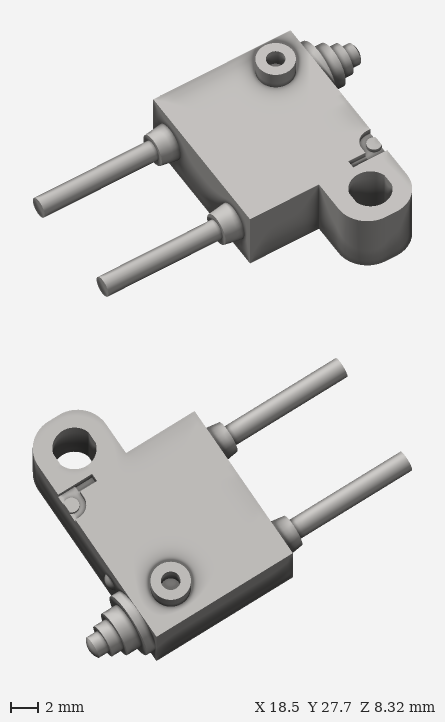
import cadquery as cq
import math


BLOCK_X = 13.3
BLOCK_Y = 12.02
BLOCK_Z = 5.32
TOP_Z = BLOCK_Z / 2

LUG_REACH = 5.2
LUG_Y = 5.98
LUG_CORNER_R = 2.52
LUG_MID_Y = BLOCK_Y - LUG_Y / 2
LUG_HOLE_X = 15.68
LUG_HOLE_D = 3.27
LUG_HOLE_ACROSS_FLATS = 3.1

BOSS_D = 3.0
BOSS_H = 1.5
TOP_BOSS_X = 2.65
BOTTOM_BOSS_X = 2.52
TOP_BOSS_HOLE_D = 1.45

LEAD_XS = (2.27, 11.02)
BOOT_BASE_D = 3.0
BOOT_TIP_D = 2.55
BOOT_LENGTH = 1.5
WIRE_D = 1.63
WIRE_LENGTH = 9.97

PLUNGER_X = 2.65
COLLAR_D = 5.1
COLLAR_LENGTH = 0.75
PLUNGER_STEPS = ((3.6, 1.25), (2.6, 1.0), (1.77, 0.91))
PLUNGER_TIP_RISE = 0.3

BUMP_X = 6.23
BUMP_BASE_R = 0.7
BUMP_RISE = 0.35

POCKET_DEPTH = 0.5
POCKET_LEFT_X = 10.97
POCKET_Y = 1.5
POCKET_CORNER_R = 1.15
POST_X = POCKET_LEFT_X + POCKET_CORNER_R
POST_D = 1.15
POST_SETBACK = 0.42
POST_HEIGHT = 0.33
SLOT_X = 0.66
SLOT_SHOULDER_R = 0.28
SLOT_DEPTH = POCKET_DEPTH + SLOT_SHOULDER_R


def rod_along_y(diameter, length, x, start_y):
    """Cylinder on the mid-height plane running in +Y from start_y."""
    return cq.Workplane(cq.Solid.makeCylinder(
        diameter / 2, length, cq.Vector(x, start_y, 0), cq.Vector(0, 1, 0)))


def spherical_cap(base_r, rise, x, base_y):
    """Dome facing +Y whose flat base lies at base_y."""
    sphere_r = (base_r**2 + rise**2) / (2 * rise)
    mid_r = math.sqrt(sphere_r**2 - (sphere_r - rise / 2) ** 2)
    return (
        cq.Workplane("XY")
        .moveTo(x, base_y)
        .lineTo(x + base_r, base_y)
        .threePointArc((x + mid_r, base_y + rise / 2), (x, base_y + rise))
        .close()
        .revolve(360, (x, base_y), (x, base_y + rise))
    )


def make_block():
    return cq.Workplane("XY").box(BLOCK_X, BLOCK_Y, BLOCK_Z, centered=(False, False, True))


def make_lug():
    lug = (
        cq.Workplane("XY")
        .box(LUG_REACH, LUG_Y, BLOCK_Z, centered=(False, True, True))
        .edges("|Z and >X")
        .fillet(LUG_CORNER_R)
        .translate((BLOCK_X, LUG_MID_Y, 0))
    )
    round_hole = cq.Workplane("XY").circle(LUG_HOLE_D / 2).extrude(TOP_Z, both=True)
    flats = cq.Workplane("XY").box(LUG_HOLE_D, LUG_HOLE_ACROSS_FLATS, BLOCK_Z)
    hole = round_hole.intersect(flats).translate((LUG_HOLE_X, LUG_MID_Y, 0))
    return lug.cut(hole)


def make_bosses():
    """Top boss with a hole reaching down to the block, and a plain bottom boss."""
    top = (
        cq.Workplane("XY", origin=(TOP_BOSS_X, LUG_MID_Y, TOP_Z))
        .circle(BOSS_D / 2)
        .circle(TOP_BOSS_HOLE_D / 2)
        .extrude(BOSS_H)
    )
    bottom = (
        cq.Workplane("XY", origin=(BOTTOM_BOSS_X, LUG_MID_Y, -TOP_Z))
        .circle(BOSS_D / 2)
        .extrude(-BOSS_H)
    )
    return top, bottom


def make_lead(x):
    boot = cq.Workplane(cq.Solid.makeCone(
        BOOT_BASE_D / 2, BOOT_TIP_D / 2, BOOT_LENGTH, cq.Vector(x, 0, 0), cq.Vector(0, -1, 0)))
    lead_length = BOOT_LENGTH + WIRE_LENGTH
    return boot.union(rod_along_y(WIRE_D, lead_length, x, -lead_length))


def make_pocket():
    """Material removed for the corner pocket and its side slot."""
    pocket_floor_z = TOP_Z - POCKET_DEPTH
    pocket = (
        cq.Workplane("XY", origin=(0, 0, pocket_floor_z))
        .moveTo(POCKET_LEFT_X, BLOCK_Y)
        .lineTo(POCKET_LEFT_X, BLOCK_Y - POCKET_Y + POCKET_CORNER_R)
        .radiusArc((POCKET_LEFT_X + POCKET_CORNER_R, BLOCK_Y - POCKET_Y), -POCKET_CORNER_R)
        .lineTo(BLOCK_X, BLOCK_Y - POCKET_Y)
        .lineTo(BLOCK_X, BLOCK_Y)
        .close()
        .extrude(POCKET_DEPTH)
    )
    slot_y = BLOCK_Y - POCKET_Y - LUG_MID_Y
    slot_x = BLOCK_X - SLOT_X
    slot = (
        cq.Workplane("XY")
        .box(SLOT_X, slot_y, SLOT_DEPTH, centered=False)
        .translate((slot_x, LUG_MID_Y, TOP_Z - SLOT_DEPTH))
    )
    shoulder = cq.Workplane(cq.Solid.makeCylinder(
        SLOT_SHOULDER_R, slot_y, cq.Vector(slot_x, LUG_MID_Y, TOP_Z - SLOT_DEPTH), cq.Vector(0, 1, 0)))
    slot = slot.cut(shoulder)
    return pocket.union(slot)


def make_post():
    """Post on the pocket floor, cut off flush with the +Y face."""
    post = (
        cq.Workplane("XY", origin=(POST_X, BLOCK_Y - POST_SETBACK, TOP_Z - POCKET_DEPTH))
        .circle(POST_D / 2)
        .extrude(POST_HEIGHT)
    )
    return post.intersect(make_block())


def make_housing():
    top_boss, bottom_boss = make_bosses()
    body = make_block().union(make_lug()).cut(make_pocket()).union(make_post())
    body = body.union(top_boss).union(bottom_boss)
    body = body.union(rod_along_y(COLLAR_D, COLLAR_LENGTH, PLUNGER_X, BLOCK_Y))
    body = body.union(spherical_cap(BUMP_BASE_R, BUMP_RISE, BUMP_X, BLOCK_Y))
    for x in LEAD_XS:
        body = body.union(make_lead(x))
    return body


def make_plunger():
    """Stepped plunger standing on the collar, with a domed tip."""
    start_y = BLOCK_Y + COLLAR_LENGTH
    plunger = cq.Workplane("XY")
    for diameter, length in PLUNGER_STEPS:
        plunger = plunger.union(rod_along_y(diameter, length, PLUNGER_X, start_y))
        start_y += length
    tip_r = PLUNGER_STEPS[-1][0] / 2
    return plunger.union(spherical_cap(tip_r, PLUNGER_TIP_RISE, PLUNGER_X, start_y))


housing = make_housing()
plunger = make_plunger()
result = cq.Compound.makeCompound([housing.val(), plunger.val()])